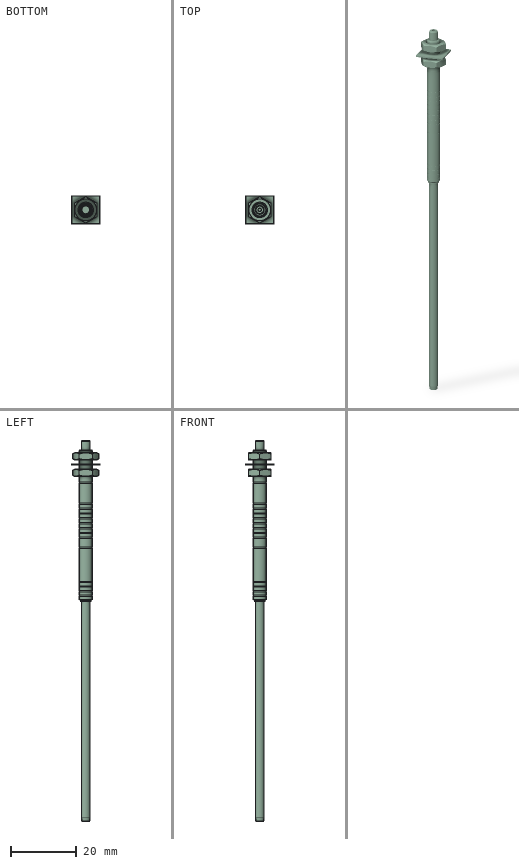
import cadquery as cq
import math

CABLE_LENGTH = 116.42
CABLE_RADIUS = 1.35
TOP_CHAMFER_RADIAL = 0.2
TOP_CHAMFER_HEIGHT = 0.4
TIP_CHAMFER_RADIAL = 0.15
TIP_CHAMFER_HEIGHT = 1.2
CORE_RADIUS = 0.5
CORE_DEPTH = TOP_CHAMFER_HEIGHT

SLEEVE_RADIUS = 2.0
SLEEVE_BOTTOM = 67.15
SLEEVE_TOP = 113.55
SLEEVE_CHAMFER_RADIAL = 0.15
SLEEVE_CHAMFER_HEIGHT = 0.35
COLLAR_RADIUS = 1.68
COLLAR_HEIGHT = 0.35
COLLAR_BEVEL_HEIGHT = 0.35

GROOVE_WIDTH = 0.4
GROOVE_RADIUS = SLEEVE_RADIUS - 0.06
UPPER_GROOVE_START = 97.06
UPPER_GROOVE_PITCH = 1.49
UPPER_GROOVE_COUNT = 8
LONE_GROOVE_STEPS = 9
LOWER_GROOVE_START = 73.16
LOWER_GROOVE_PITCH = 1.42
LOWER_GROOVE_COUNT = 4
THREAD_RELIEF_CENTRE = 103.48

NUT_ACROSS_FLATS = 7.0
NUT_HEIGHT = 2.25
NUT_CORNER_RADIUS = NUT_ACROSS_FLATS / math.sqrt(3)
NUT_FACE_RADIUS = 3.325
NUT_CHAMFER_ANGLE = 30
NUT_TURN = 30
NUT_TRIM_OVERHANG = 1.0
NUT_BORE_CHAMFER = 0.35
NUT_BOTTOMS = (105.38, 110.43)

WASHER_SIDE = 8.63
WASHER_THICKNESS = 0.4
WASHER_BOTTOM = (NUT_BOTTOMS[0] + NUT_HEIGHT + NUT_BOTTOMS[1] - WASHER_THICKNESS) / 2


def revolved(half_profile):
    """Turn an outline of (radius, z) points about the Z axis."""
    return cq.Workplane("XZ").polyline(half_profile).close().revolve(360, (0, 0, 0), (0, 1, 0))


def make_cable():
    shoulder = CABLE_LENGTH - TOP_CHAMFER_HEIGHT
    core_floor = CABLE_LENGTH - CORE_DEPTH
    return revolved([
        (0, 0),
        (CABLE_RADIUS - TIP_CHAMFER_RADIAL, 0),
        (CABLE_RADIUS, TIP_CHAMFER_HEIGHT),
        (CABLE_RADIUS, shoulder),
        (CABLE_RADIUS - TOP_CHAMFER_RADIAL, CABLE_LENGTH),
        (CORE_RADIUS, CABLE_LENGTH),
        (CORE_RADIUS, core_floor),
        (0, core_floor),
    ])


def groove_centres():
    """Heights of all the sleeve grooves, from the lowest up."""
    centres = [THREAD_RELIEF_CENTRE, UPPER_GROOVE_START - LONE_GROOVE_STEPS * UPPER_GROOVE_PITCH]
    for i in range(UPPER_GROOVE_COUNT):
        centres.append(UPPER_GROOVE_START - i * UPPER_GROOVE_PITCH)
    for i in range(LOWER_GROOVE_COUNT):
        centres.append(LOWER_GROOVE_START - i * LOWER_GROOVE_PITCH)
    return sorted(centres)


def make_sleeve():
    """Stepped tube whose outer wall carries all the grooves."""
    collar_top = SLEEVE_BOTTOM + COLLAR_HEIGHT
    profile = [
        (CABLE_RADIUS, SLEEVE_BOTTOM),
        (COLLAR_RADIUS, SLEEVE_BOTTOM),
        (COLLAR_RADIUS, collar_top),
        (SLEEVE_RADIUS, collar_top + COLLAR_BEVEL_HEIGHT),
    ]
    for centre in groove_centres():
        low = centre - GROOVE_WIDTH / 2
        high = centre + GROOVE_WIDTH / 2
        profile += [
            (SLEEVE_RADIUS, low),
            (GROOVE_RADIUS, low),
            (GROOVE_RADIUS, high),
            (SLEEVE_RADIUS, high),
        ]
    profile += [
        (SLEEVE_RADIUS, SLEEVE_TOP - SLEEVE_CHAMFER_HEIGHT),
        (SLEEVE_RADIUS - SLEEVE_CHAMFER_RADIAL, SLEEVE_TOP),
        (CABLE_RADIUS, SLEEVE_TOP),
    ]
    return revolved(profile)


def make_nut(bottom):
    """Hexagon trimmed by a chamfered ring, so that its corners are bevelled at both ends."""
    top = bottom + NUT_HEIGHT
    hexagon = (
        cq.Workplane("XY")
        .workplane(offset=bottom)
        .polygon(6, 2 * NUT_CORNER_RADIUS)
        .extrude(NUT_HEIGHT)
        .rotate((0, 0, 0), (0, 0, 1), NUT_TURN)
    )
    reach = NUT_CORNER_RADIUS + NUT_TRIM_OVERHANG
    drop = (reach - NUT_FACE_RADIUS) * math.tan(math.radians(NUT_CHAMFER_ANGLE))
    envelope = revolved([
        (SLEEVE_RADIUS + NUT_BORE_CHAMFER, bottom),
        (NUT_FACE_RADIUS, bottom),
        (reach, bottom + drop),
        (reach, top - drop),
        (NUT_FACE_RADIUS, top),
        (SLEEVE_RADIUS + NUT_BORE_CHAMFER, top),
        (SLEEVE_RADIUS, top - NUT_BORE_CHAMFER),
        (SLEEVE_RADIUS, bottom + NUT_BORE_CHAMFER),
    ])
    return hexagon.intersect(envelope)


def make_washer():
    return (
        cq.Workplane("XY")
        .workplane(offset=WASHER_BOTTOM)
        .rect(WASHER_SIDE, WASHER_SIDE)
        .circle(SLEEVE_RADIUS)
        .extrude(WASHER_THICKNESS)
    )


cable = make_cable()
sleeve = make_sleeve()
washer = make_washer()
nuts = [make_nut(bottom) for bottom in NUT_BOTTOMS]

result = cq.Compound.makeCompound(
    [cable.val(), sleeve.val(), washer.val(), *[nut.val() for nut in nuts]]
)